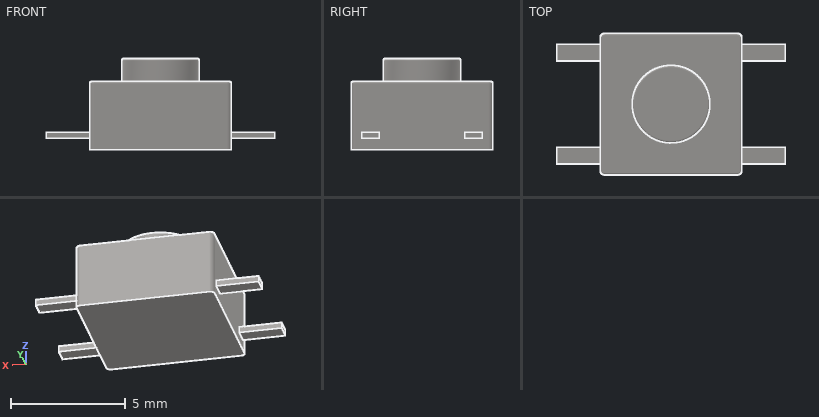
import cadquery as cq

body_side = 6.2
body_height = 3
body_corner_radius = 0.2
body_top_radius = 0.1

button_diameter = 3.4
overall_height = 4
button_edge_radius = 0.1

lead_span = 10
lead_width = 0.75
lead_thickness = 0.28
lead_bottom = 0.5
lead_pitch = 4.5


def make_body():
    block = cq.Workplane("XY").rect(body_side, body_side).extrude(body_height)
    block = block.edges("|Z").fillet(body_corner_radius)
    return block.faces(">Z").edges().fillet(body_top_radius)


def make_button():
    button = cq.Workplane("XY").circle(button_diameter / 2).extrude(overall_height)
    return button.faces(">Z").edges().fillet(button_edge_radius)


def make_leads():
    return (
        cq.Workplane("XY")
        .workplane(offset=lead_bottom)
        .pushPoints([(0, -lead_pitch / 2), (0, lead_pitch / 2)])
        .rect(lead_span, lead_width)
        .extrude(lead_thickness)
    )


result = make_body().union(make_button()).union(make_leads())